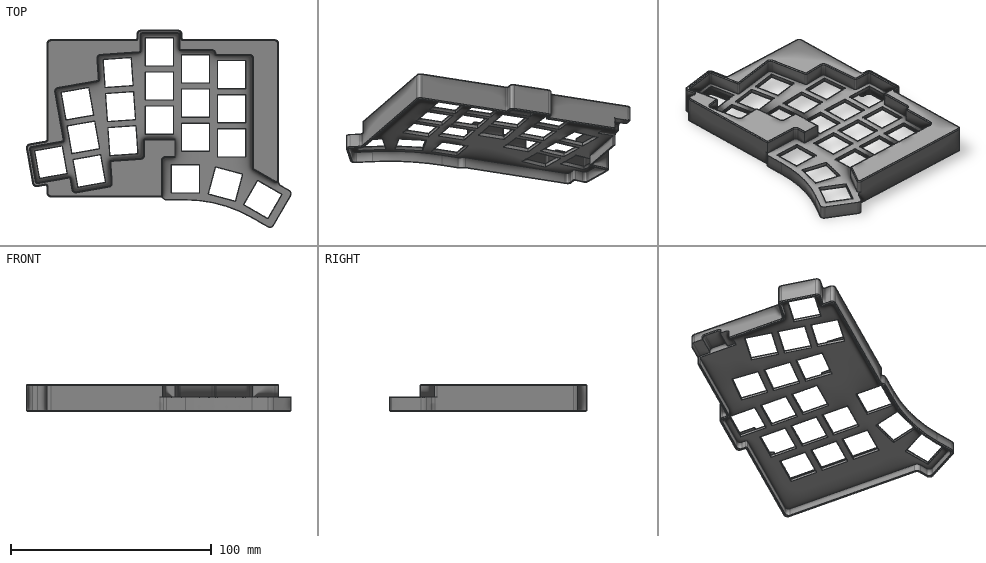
import cadquery as cq
import math


TOTAL_HEIGHT = 13.45
PLATE_TOP = 7.0
PLATE_THICKNESS = 1.8
PLATE_UNDERSIDE = PLATE_TOP - PLATE_THICKNESS
WALL = 1.0
EDGE_CHAMFER = 0.5
CORNER_RADIUS = 2.0
JUNCTION_RADIUS = 0.8
DECK_CORNER_RADIUS = 1.2
CLEARANCE = 1.0
SAME_POINT = 0.01

HOLE_SIZE = 13.9
KEY_PITCH = 17.0
COLUMN_PITCH = 18.0
KEYS_PER_COLUMN = 3
MIDDLE_X = 0.72
MIDDLE_Y = 21.45
INDEX_DROP = 8.5
INNER_DROP = 11.3
OUTER_KEY = (-53.27, -16.47, 10, 1)
PINKY = (-37.13, -4.1, 10, KEYS_PER_COLUMN)
RING = (-18.6, 11.2, 4, KEYS_PER_COLUMN)
MIDDLE = (MIDDLE_X, MIDDLE_Y, 0, KEYS_PER_COLUMN)
INDEX = (MIDDLE_X + COLUMN_PITCH, MIDDLE_Y - INDEX_DROP, 0, KEYS_PER_COLUMN)
INNER = (MIDDLE_X + 2 * COLUMN_PITCH, MIDDLE_Y - INNER_DROP, 0, KEYS_PER_COLUMN)
COLUMNS = [OUTER_KEY, PINKY, RING, MIDDLE, INDEX, INNER]

THUMB_X = 13.7
THUMB_Y = -24.75
THUMB_ARC_RADIUS = 77.0
THUMB_STEP = 15
THUMB_COUNT = 3
THUMB_LAST_ANGLE = THUMB_STEP * (THUMB_COUNT - 1)
THUMB_SIDE_MARGIN = 11.04
THUMB_END_MARGIN = 10.5

BODY_LEFT = -55.2
BODY_RIGHT = 60.1
BODY_BACK = 44.5
BODY_FRONT = -33.75
BUMP_LEFT = -10.4
BUMP_RIGHT = 12.0
BUMP_BACK = 49.26
OUTER_KEY_HALF = 10.77

WELL_HALF_WIDTH = 9.6
WELL_BACK = 9.1
WELL_FRONT = 9.4
OUTER_WELL_HALF = 8.85
MIDDLE_WELL_LEFT = 9.2
MIDDLE_WELL_RIGHT = 9.85
INNER_WELL_RIGHT = 10.35
INNER_WELL_BACK = 9.55
WELL_CORNER_RADIUS = 1.5

THUMB_LEFT = 2.25
THUMB_WELL_BACK = -14.2
WELL_DIAGONAL_Y = -20.0
PENINSULA_RIGHT = 8.5
PENINSULA_BACK = MIDDLE_Y - KEY_PITCH - WELL_FRONT

SLOT_FRONT = 23.65
SLOT_BACK = BODY_BACK + 0.1
SLOT_TOP = 6.45
SLOT_RADIUS = 1.4
SLOT_DEPTH = 9.0
USB_CENTRE = 33.15
USB_WIDTH = 9.5
USB_TOP = 9.5
USB_RADIUS = 1.2
USB_FLARE_ANGLE = 45


def point_near(centre, tilt, dx, dy):
    """Point given by its offset in the tilted frame of a key."""
    angle = math.radians(tilt)
    return (
        centre[0] + dx * math.cos(angle) - dy * math.sin(angle),
        centre[1] + dx * math.sin(angle) + dy * math.cos(angle),
    )


def thumb_arc_point(radius, degrees):
    """Point on a circle about the thumb arc centre, clockwise from +Y."""
    angle = math.radians(degrees)
    return (
        THUMB_X + radius * math.sin(angle),
        THUMB_Y - THUMB_ARC_RADIUS + radius * math.cos(angle),
    )


def box(centre, tilt, width, length, height):
    """Box standing on z = 0, turned about its own centre."""
    return (
        cq.Workplane("XY")
        .rect(width, length)
        .extrude(height)
        .rotate((0, 0, 0), (0, 0, 1), tilt)
        .translate((centre[0], centre[1], 0))
    )


def block(left, right, front, back, height):
    centre = ((left + right) / 2, (front + back) / 2)
    return box(centre, 0, right - left, back - front, height)


def fillet_upright(solid, radius, points):
    """Round the vertical edges that lie closest to the given (x, y) points."""
    for x, y in points:
        middle = solid.val().BoundingBox().center.z
        nearest = cq.NearestToPointSelector((x, y, middle))
        solid = solid.edges("|Z").edges(nearest).fillet(radius)
    return solid


def body_prism(inset, height):
    """Rectangular body with the rear bump and the outer-key corner, walls moved in by `inset`."""
    left = BODY_LEFT + inset
    back = BODY_BACK - inset
    front = BODY_FRONT + inset
    bump_left = BUMP_LEFT + inset
    bump_right = BUMP_RIGHT - inset
    outer_half = OUTER_KEY_HALF - inset
    pieces = [
        block(left, BODY_RIGHT - inset, front, back, height),
        block(bump_left, bump_right, THUMB_Y, BUMP_BACK - inset, height),
        box(OUTER_KEY[:2], OUTER_KEY[2], 2 * outer_half, 2 * outer_half, height),
    ]
    prism = cq.Workplane("XY")
    for piece in pieces:
        prism = prism.union(piece.edges("|Z").fillet(CORNER_RADIUS))

    tilt = math.radians(OUTER_KEY[2])
    slant = OUTER_KEY[1] + (left - OUTER_KEY[0]) * math.tan(tilt)
    reach = outer_half / math.cos(tilt)
    junctions = [(bump_left, back), (bump_right, back), (left, slant + reach), (left, slant - reach)]
    return fillet_upright(prism, JUNCTION_RADIUS, junctions)


def thumb_prism(inset, height):
    """Curved fan under the thumb keys, walls moved in by `inset`."""
    front_radius = THUMB_ARC_RADIUS - THUMB_END_MARGIN + inset
    last = thumb_arc_point(THUMB_ARC_RADIUS, THUMB_LAST_ANGLE)
    side = THUMB_SIDE_MARGIN - inset
    end = THUMB_END_MARGIN - inset
    left = THUMB_LEFT + inset
    front = THUMB_Y - end
    front_right = point_near(last, -THUMB_LAST_ANGLE, side, -end)
    back_right = point_near(last, -THUMB_LAST_ANGLE, side, end)
    fan = cq.Workplane("XY").moveTo(left, front).lineTo(THUMB_X, front)
    for angle in range(THUMB_STEP, THUMB_LAST_ANGLE + 1, THUMB_STEP):
        fan = fan.threePointArc(
            thumb_arc_point(front_radius, angle - THUMB_STEP / 2),
            thumb_arc_point(front_radius, angle),
        )
    fan = (
        fan.lineTo(*front_right)
        .lineTo(*back_right)
        .lineTo(*point_near(last, -THUMB_LAST_ANGLE, -side, end))
        .lineTo(left, THUMB_WELL_BACK)
        .close()
        .extrude(height)
    )
    return fillet_upright(fan, CORNER_RADIUS, [(left, front), front_right, back_right])


def case_prism(inset, height):
    """Body and thumb fan in one, with the corners between them rounded."""
    prism = body_prism(inset, height).union(thumb_prism(inset, height)).clean()
    last = thumb_arc_point(THUMB_ARC_RADIUS, THUMB_LAST_ANGLE)
    right = BODY_RIGHT - inset
    angle = math.radians(THUMB_LAST_ANGLE)
    end = THUMB_END_MARGIN - inset
    right_y = last[1] + end / math.cos(angle) - (right - last[0]) * math.tan(angle)
    front_junction = (THUMB_LEFT + inset, BODY_FRONT + inset)
    return fillet_upright(prism, CORNER_RADIUS + inset, [(right, right_y), front_junction])


def well_corners(column, next_tilt):
    """Corners of the free space above one column, counter-clockwise from the front left.

    The back edge reaches on to the next, less tilted column, so that no wedge is left between them.
    """
    x, y, tilt, count = column
    row_reach = KEY_PITCH * (count - 1) / 2
    left = right = WELL_HALF_WIDTH
    back = row_reach + WELL_BACK
    front = row_reach + WELL_FRONT
    if column == OUTER_KEY:
        left = right = back = front = OUTER_WELL_HALF
    if column == PINKY:
        front = back
    if column == MIDDLE:
        left = MIDDLE_WELL_LEFT
        right = MIDDLE_WELL_RIGHT
    if column == INNER:
        right = INNER_WELL_RIGHT
        back = row_reach + INNER_WELL_BACK
    spread = (back + front) * math.tan(math.radians(tilt - next_tilt))
    corners = [(-left, -front), (right, -front), (right + spread, back), (-left, back)]
    return [point_near((x, y), tilt, *corner) for corner in corners]


def thumb_well_corners():
    """Corners of the free space above the thumb keys and in front of the index and inner columns."""
    well_right = INNER[0] + INNER_WELL_RIGHT
    far_right = BODY_RIGHT + CLEARANCE
    front = BODY_FRONT - CLEARANCE
    fall = (far_right - well_right) * math.tan(math.radians(THUMB_LAST_ANGLE))
    return [
        (THUMB_LEFT, front),
        (THUMB_LEFT, THUMB_WELL_BACK),
        (PENINSULA_RIGHT, THUMB_WELL_BACK),
        (PENINSULA_RIGHT, MIDDLE_Y),
        (well_right, MIDDLE_Y),
        (well_right, WELL_DIAGONAL_Y),
        (far_right, WELL_DIAGONAL_Y - fall),
        (far_right, front),
    ]


def is_at(edge, points):
    centre = edge.Center()
    return any(math.hypot(centre.x - x, centre.y - y) < SAME_POINT for x, y in points)


def key_well():
    """Everything above the plate that is left free around the keys."""
    next_tilts = [column[2] for column in COLUMNS[1:]] + [INNER[2]]
    outlines = [thumb_well_corners()]
    for column, next_tilt in zip(COLUMNS, next_tilts):
        outlines.append(well_corners(column, next_tilt))
    well = cq.Workplane("XY")
    for outline in outlines:
        prism = cq.Workplane("XY", origin=(0, 0, PLATE_TOP)).polyline(outline).close()
        well = well.union(prism.extrude(TOTAL_HEIGHT - PLATE_TOP))
    well = well.clean()

    wide_points = [(THUMB_LEFT, THUMB_WELL_BACK)]
    for column in (PINKY, RING, INDEX, INNER):
        wide_points += well_corners(column, column[2])
    sharp_points = [(PENINSULA_RIGHT, THUMB_WELL_BACK), (PENINSULA_RIGHT, PENINSULA_BACK)]
    narrow_points = []
    for edge in well.edges("|Z").vals():
        if not is_at(edge, wide_points + sharp_points):
            narrow_points.append((edge.Center().x, edge.Center().y))
    well = well.edges("|Z").filter(lambda edge: is_at(edge, wide_points)).fillet(WELL_CORNER_RADIUS)
    return well.edges("|Z").filter(lambda edge: is_at(edge, narrow_points)).fillet(JUNCTION_RADIUS)


def stays_sharp(edge):
    """True for the top edges at the back and right of the peninsula, which have no chamfer."""
    centre = edge.Center()
    bounds = edge.BoundingBox()
    on_right = bounds.xlen < SAME_POINT and abs(centre.x - PENINSULA_RIGHT) < SAME_POINT
    on_back = bounds.ylen < SAME_POINT and abs(centre.y - PENINSULA_BACK) < SAME_POINT
    return on_right or on_back


def deck():
    """Raised part of the body around the key well."""
    raised = body_prism(0, TOTAL_HEIGHT - PLATE_TOP).translate((0, 0, PLATE_TOP)).cut(key_well())
    diagonal_run = BODY_RIGHT - INNER[0] - INNER_WELL_RIGHT
    diagonal_end = WELL_DIAGONAL_Y - diagonal_run * math.tan(math.radians(THUMB_LAST_ANGLE))
    above_plate = (PLATE_TOP + TOTAL_HEIGHT) / 2
    diagonal_corner = cq.NearestToPointSelector((BODY_RIGHT, diagonal_end, above_plate))
    raised = raised.edges("|Z").edges(diagonal_corner).fillet(DECK_CORNER_RADIUS)
    top_edges = raised.faces(">Z").edges()
    return top_edges.filter(lambda edge: not stays_sharp(edge)).chamfer(EDGE_CHAMFER)


def rounded_opening(centre, width, top, radius):
    """Cross-section, in the plane of the left wall, of an opening with rounded upper corners."""
    sketch = cq.Sketch().rect(width, 2 * top).vertices().fillet(radius)
    return cq.Workplane("YZ", origin=(BODY_LEFT, centre, 0)).placeSketch(sketch)


def controller_opening():
    """Low slot through the left wall and rear corner, with a flared arch for the USB plug."""
    slot_centre = (SLOT_FRONT + SLOT_BACK) / 2
    slot = rounded_opening(slot_centre, SLOT_BACK - SLOT_FRONT, SLOT_TOP, SLOT_RADIUS)
    usb = rounded_opening(USB_CENTRE, USB_WIDTH, USB_TOP, USB_RADIUS)
    flare = rounded_opening(
        USB_CENTRE,
        USB_WIDTH + 2 * EDGE_CHAMFER,
        USB_TOP + EDGE_CHAMFER,
        USB_RADIUS + EDGE_CHAMFER,
    )
    return (
        slot.extrude(SLOT_DEPTH)
        .union(usb.extrude(SLOT_DEPTH))
        .union(flare.extrude(EDGE_CHAMFER, taper=USB_FLARE_ANGLE))
    )


def switch_holes():
    """Square holes for all the column and thumb switches."""
    places = []
    for x, y, tilt, count in COLUMNS:
        for row in range(count):
            offset = (row - (count - 1) / 2) * KEY_PITCH
            places.append((point_near((x, y), tilt, 0, offset), tilt))
    for index in range(THUMB_COUNT):
        angle = index * THUMB_STEP
        places.append((thumb_arc_point(THUMB_ARC_RADIUS, angle), -angle))
    holes = cq.Workplane("XY")
    for centre, tilt in places:
        holes = holes.union(box(centre, tilt, HOLE_SIZE, HOLE_SIZE, PLATE_TOP + CLEARANCE))
    return holes


case = case_prism(0, PLATE_TOP).faces("<Z").edges().chamfer(EDGE_CHAMFER)
case = case.union(deck())
case = case.cut(case_prism(WALL, PLATE_UNDERSIDE))
case = case.cut(switch_holes())
result = case.cut(controller_opening())